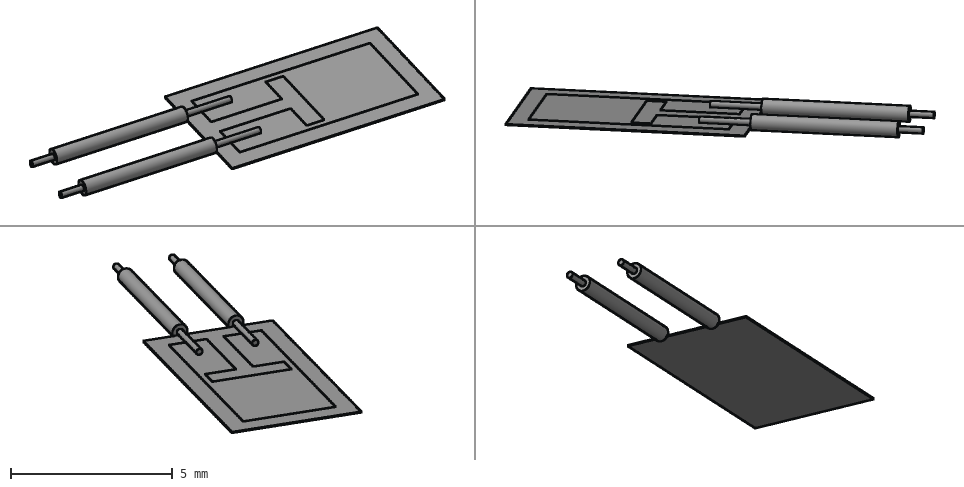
import cadquery as cq

sheet_width = 4.3
sheet_length = 7.51
sheet_thickness = 0.04

foil_width = 3.07
foil_thickness = 0.01
foil_far_y = -0.6
foil_near_y = -6.9
opening_bar_width = 2.62
opening_bar_far_y = -3.79
opening_bar_near_y = -4.41
opening_stem_width = 0.57

wire_diameter = 0.2
wire_spacing = 1.86
wire_far_y = -5.87
wire_near_y = -12.9
sleeve_diameter = 0.5
sleeve_far_y = -sheet_length
sleeve_near_y = -12.13

wire_axis_z = wire_diameter / 2
wire_positions = [-wire_spacing / 2, wire_spacing / 2]


def flat_block(width, far_y, near_y, thickness):
    """Block centred on X = 0, standing on Z = 0 between two Y positions."""
    return (
        cq.Workplane("XY")
        .center(0, (far_y + near_y) / 2)
        .rect(width, far_y - near_y)
        .extrude(thickness)
    )


def rod(diameter, x, far_y, near_y):
    """Round rod along Y on the axis of the wire at the given X."""
    return (
        cq.Workplane("XZ", origin=(x, far_y, wire_axis_z))
        .circle(diameter / 2)
        .extrude(far_y - near_y)
    )


def make_sheet():
    return flat_block(sheet_width, 0, -sheet_length, -sheet_thickness)


def make_wire(x):
    return rod(wire_diameter, x, wire_far_y, wire_near_y)


def make_sleeve(x):
    """Insulation tube whose bore fits the wire."""
    tube = rod(sleeve_diameter, x, sleeve_far_y, sleeve_near_y)
    return tube.cut(rod(wire_diameter, x, sleeve_far_y, sleeve_near_y))


def make_foil():
    """Foil with the T-shaped opening and a groove in each leg for its wire."""
    foil = flat_block(foil_width, foil_far_y, foil_near_y, foil_thickness)
    foil = foil.cut(flat_block(opening_bar_width, opening_bar_far_y, opening_bar_near_y, foil_thickness))
    foil = foil.cut(flat_block(opening_stem_width, opening_bar_near_y, foil_near_y, foil_thickness))
    for x in wire_positions:
        foil = foil.cut(make_wire(x))
    return foil


sheet = make_sheet()
foil = make_foil()
wires = [make_wire(x) for x in wire_positions]
sleeves = [make_sleeve(x) for x in wire_positions]

result = cq.Compound.makeCompound(
    [sheet.val(), foil.solids().val()]
    + [wire.val() for wire in wires]
    + [sleeve.solids().val() for sleeve in sleeves]
)